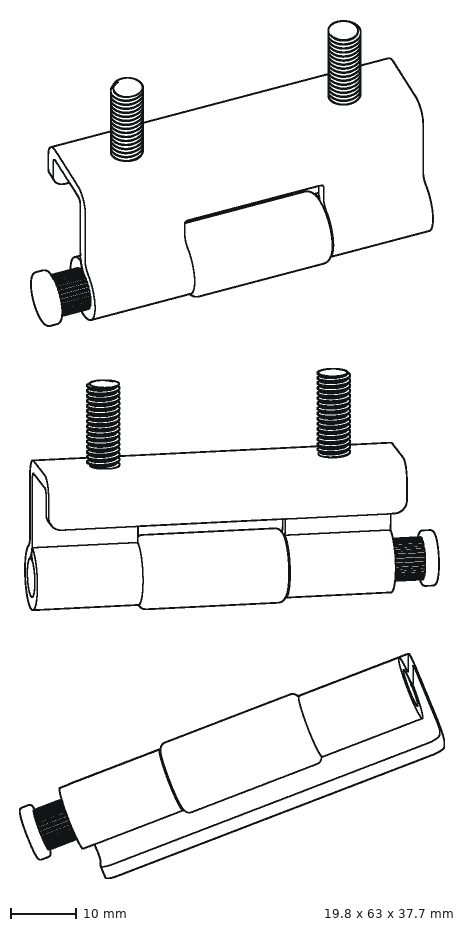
import cadquery as cq
import math


sheet = 2.0
bracket_length = 56.0
web_top = 19.0
lip_outer_x = -14.0
lip_height = 8.0
bend_inner_radius = 1.0
bend_outer_radius = bend_inner_radius + sheet
lip_corner_radius = 2.0
flange_outer_x = sheet / 2
flange_inner_x = flange_outer_x - sheet

pin_radius = 2.99
knuckle_outer_radius = pin_radius + sheet
curl_bend_radius = 2.0
curl_end_angle = 9
knuckle_length = 16.5
slot_length = bracket_length - 2 * knuckle_length
slot_top = web_top - 10.0
slot_corner_radius = 0.5

sleeve_radius = 5.75
sleeve_length = 22.7
sleeve_fillet = 1.0
sleeve_front_y = (bracket_length - sleeve_length) / 2

neck_radius = 3.3
neck_length = 5.0
head_radius = 4.3
head_length = 2.0
head_fillet = 0.45
knurl_count = 30
knurl_depth = 0.2
knurl_width = 0.4

stud_radius = 2.5
stud_height = 12.9
stud_spacing = 36.05
stud_x = (lip_outer_x + flange_outer_x) / 2
thread_turns = 16
thread_pitch = stud_height / thread_turns
thread_depth = 0.45
thread_crest = 0.095
thread_root = 0.725
thread_overlap = 0.095
stud_turn_angles = [135, 225]


def on_circle(radius, angle):
    """Point on a circle about the hinge axis, at an angle in degrees from +X."""
    turn = math.radians(angle)
    return (radius * math.cos(turn), radius * math.sin(turn))


def along_y(workplane, start, length):
    """Extrude an XZ outline toward +Y, beginning at Y = start."""
    return workplane.extrude(-length).translate((0, start, 0))


def make_bracket_sheet():
    """Bent sheet over the full length, its lower edge rolled around the pin."""
    bend_x = flange_outer_x + curl_bend_radius
    bend_distance = knuckle_outer_radius + curl_bend_radius
    bend_z = math.sqrt(bend_distance**2 - bend_x**2)
    bend_angle = math.degrees(math.atan2(bend_z, bend_x))
    middle_of_bend = math.radians(180 + bend_angle / 2)

    def bend_middle(radius):
        return (bend_x + radius * math.cos(middle_of_bend), bend_z + radius * math.sin(middle_of_bend))

    lip_bottom = web_top - lip_height
    lip_inner_x = lip_outer_x + sheet
    curl_end = 90 + curl_end_angle
    outline = (
        cq.Workplane("XZ")
        .moveTo(lip_outer_x, lip_bottom)
        .lineTo(lip_outer_x, web_top - bend_outer_radius)
        .radiusArc((lip_outer_x + bend_outer_radius, web_top), bend_outer_radius)
        .lineTo(flange_outer_x - bend_outer_radius, web_top)
        .radiusArc((flange_outer_x, web_top - bend_outer_radius), bend_outer_radius)
        .lineTo(flange_outer_x, bend_z)
        .threePointArc(bend_middle(curl_bend_radius), on_circle(knuckle_outer_radius, bend_angle))
        .threePointArc((0, -knuckle_outer_radius), on_circle(knuckle_outer_radius, curl_end))
        .lineTo(*on_circle(pin_radius, curl_end))
        .threePointArc((0, -pin_radius), on_circle(pin_radius, bend_angle))
        .threePointArc(bend_middle(curl_bend_radius + sheet), (flange_inner_x, bend_z))
        .lineTo(flange_inner_x, web_top - bend_outer_radius)
        .radiusArc((flange_outer_x - bend_outer_radius, web_top - sheet), -bend_inner_radius)
        .lineTo(lip_outer_x + bend_outer_radius, web_top - sheet)
        .radiusArc((lip_inner_x, web_top - bend_outer_radius), -bend_inner_radius)
        .lineTo(lip_inner_x, lip_bottom)
        .close()
    )
    bracket = along_y(outline, 0, bracket_length)
    lip_corners = cq.selectors.BoxSelector(
        (lip_outer_x - sheet, -sheet, lip_bottom - sheet),
        (lip_inner_x + sheet, bracket_length + sheet, lip_bottom + sheet),
    )
    return bracket.edges("|X").edges(lip_corners).fillet(lip_corner_radius)


def make_slot():
    """Round-cornered opening that separates the two knuckles."""
    slot_bottom = -2 * knuckle_outer_radius
    return (
        cq.Workplane("XY")
        .box(4 * knuckle_outer_radius, slot_length, slot_top - slot_bottom, centered=(True, False, False))
        .translate((0, knuckle_length, slot_bottom))
        .edges("|X and >Z")
        .fillet(slot_corner_radius)
    )


def make_bracket():
    return make_bracket_sheet().cut(make_slot())


def make_sleeve():
    """Tube with rounded ends, free to turn between the two knuckles."""
    body = along_y(cq.Workplane("XZ").circle(sleeve_radius), sleeve_front_y, sleeve_length)
    body = body.faces("<Y or >Y").edges().fillet(sleeve_fillet)
    bore = along_y(cq.Workplane("XZ").circle(pin_radius), 0, bracket_length)
    return body.cut(bore)


def make_knurled_neck():
    """Neck with straight V-grooves all around, in front of the bracket."""
    half_groove = math.degrees(knurl_width / 2 / neck_radius)
    groove_step = 360 / knurl_count
    outline = cq.Workplane("XZ").moveTo(*on_circle(neck_radius, half_groove))
    for index in range(knurl_count):
        groove = (index + 1) * groove_step
        land_middle = groove - groove_step / 2
        outline = (
            outline.threePointArc(
                on_circle(neck_radius, land_middle), on_circle(neck_radius, groove - half_groove)
            )
            .lineTo(*on_circle(neck_radius - knurl_depth, groove))
            .lineTo(*on_circle(neck_radius, groove + half_groove))
        )
    return along_y(outline.close(), -neck_length, neck_length)


def make_pin():
    shank = along_y(cq.Workplane("XZ").circle(pin_radius), -neck_length, neck_length + bracket_length)
    head = along_y(cq.Workplane("XZ").circle(head_radius), -neck_length - head_length, head_length)
    head = head.edges().fillet(head_fillet)
    return shank.union(make_knurled_neck()).union(head)


def make_stud(y, turn_angle):
    """Stud with a helical thread, standing on top of the web."""
    core_radius = stud_radius - thread_depth
    ridge_foot = core_radius - thread_overlap
    helix = cq.Wire.makeHelix(thread_pitch, stud_height + 2 * thread_pitch, core_radius)
    ridge = (
        cq.Workplane("XZ")
        .polyline([
            (ridge_foot, -thread_root / 2),
            (stud_radius, -thread_crest / 2),
            (stud_radius, thread_crest / 2),
            (ridge_foot, thread_root / 2),
        ])
        .close()
        .sweep(cq.Workplane(obj=helix), isFrenet=True)
        .translate((0, 0, -thread_pitch))
    )
    ridge = ridge.intersect(cq.Workplane("XY").circle(2 * stud_radius).extrude(stud_height))
    stud = cq.Workplane("XY").circle(core_radius).extrude(stud_height).union(ridge)
    return stud.rotate((0, 0, 0), (0, 0, 1), turn_angle).translate((stud_x, y, web_top))


bracket = make_bracket().solids().val()
sleeve = make_sleeve().solids().val()
pin = make_pin().solids().val()

studs = []
for side, turn_angle in zip((-1, 1), stud_turn_angles):
    stud_y = bracket_length / 2 + side * stud_spacing / 2
    studs.append(make_stud(stud_y, turn_angle).solids().val())

result = cq.Compound.makeCompound([bracket, sleeve, pin, *studs])